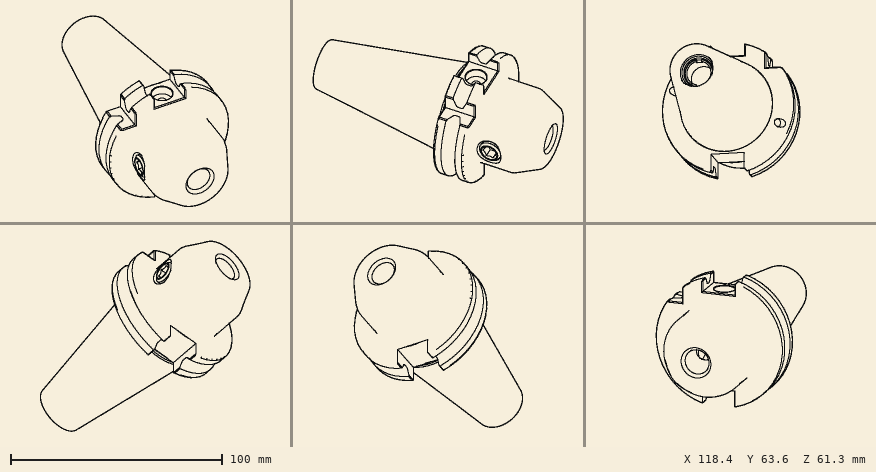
import cadquery as cq
import math

CUT_CLEARANCE = 1.0
MATCH_TOLERANCE = 0.01

GAUGE_R = 44.45 / 2
TAPER_SLOPE = 7 / 48
TAPER_START_X = -68.4
TAPER_END_X = 0.8
TAPER_TIP_FILLET = 1.0
RELIEF_R = 22.0
RELIEF_START_X = 1.6
RELIEF_FILLET = 0.4

FLANGE_R = 63.55 / 2
FLANGE_BACK_X = 3.2
FLANGE_FRONT_X = 19.1
FLANGE_EDGE_FILLET = 1.0
GROOVE_X = 11.1
GROOVE_BOTTOM_R = 56.25 / 2
GROOVE_MOUTH_HALF = 3.6
GROOVE_FLANK_ANGLE = 30
GROOVE_FILLET = 1.2

NOSE_R = 21.0
NOSE_ROOT_FILLET = 2.0
NOSE_CONE_START_X = 37.2
NOSE_FRONT_X = 50.0
NOSE_CONE_ANGLE = 25
NOSE_SHOULDER_FILLET = 2.5
NOSE_TIP_FILLET = 2.0

PILOT_R = 8.5
PILOT_DEPTH = 6.4
PILOT_MOUTH_FILLET = 0.9
THREAD_R = 7.0
THREAD_CHAMFER = 0.7
THREAD_END_X = 3.0
TOOL_BORE_R = 6.0
TOOL_BORE_CHAMFER = 1.5

SLOT_WIDTH = 16.1
TOP_SLOT_FLOOR_Z = 25.0
BOTTOM_SLOT_FLOOR_Z = -22.6
NOTCH_OFFSET = 18.4
RIM_CHAMFER = 0.5

POCKET_R = 5.0
POCKET_DEPTH = 4.6
POCKET_CHAMFER = 0.25
POCKET_TIP_R = 2.0
DRILL_TIP_HALF_ANGLE = 59

COOLANT_R = 2.0
COOLANT_PITCH_R = 27.0
COOLANT_ANGLE = 20
COOLANT_TILT = 45
COOLANT_DEPTH = 3.0

SCREW_X = 27.5
SCREW_R = 5.5
SCREW_TIP_Y = -5.0
SCREW_HEAD_Y = -20.8
SCREW_CHAMFER = 1.0
COUNTERSINK_BOTTOM_Y = -18.6
COUNTERSINK_HALF_X = 6.2
COUNTERSINK_HALF_Z = 8.4
HEX_ACROSS_FLATS = 6.0
HEX_DEPTH = 5.0
HEX_MOUTH_R = 4.0

RING_START_X = -59.9
RING_LENGTH = 10.0
RING_BORE_R = 5.8
RING_CHAMFER = 0.4
RING_SLOT_WIDTH = 2.8
RING_SLOT_DEPTH = 2.0


def taper_radius(x):
    return GAUGE_R + TAPER_SLOPE * x


def revolve_about_x(profile):
    return profile.close().revolve(360, (0, 0, 0), (1, 0, 0))


def fillet_rings(body, rings, radius):
    """Fillet the full circles about the X axis given as (x, radius) pairs."""
    picked = []
    for edge in body.edges("%CIRCLE").vals():
        centre = edge.arcCenter()
        for x, r in rings:
            same_place = abs(centre.x - x) < MATCH_TOLERANCE
            same_size = abs(edge.radius() - r) < MATCH_TOLERANCE
            if same_place and same_size:
                picked.append(edge)
    return body.newObject(picked).fillet(radius)


def make_blank():
    flank_run = (FLANGE_R - GROOVE_BOTTOM_R) * math.tan(math.radians(GROOVE_FLANK_ANGLE))
    groove_floor_half = GROOVE_MOUTH_HALF - flank_run
    cone_drop = (NOSE_FRONT_X - NOSE_CONE_START_X) * math.tan(math.radians(NOSE_CONE_ANGLE))
    tip_r = taper_radius(TAPER_START_X)
    nose_tip_r = NOSE_R - cone_drop
    profile = cq.Workplane("XZ").polyline(
        [
            (TAPER_START_X, 0),
            (TAPER_START_X, tip_r),
            (TAPER_END_X, taper_radius(TAPER_END_X)),
            (RELIEF_START_X, RELIEF_R),
            (FLANGE_BACK_X, RELIEF_R),
            (FLANGE_BACK_X, FLANGE_R),
            (GROOVE_X - GROOVE_MOUTH_HALF, FLANGE_R),
            (GROOVE_X - groove_floor_half, GROOVE_BOTTOM_R),
            (GROOVE_X + groove_floor_half, GROOVE_BOTTOM_R),
            (GROOVE_X + GROOVE_MOUTH_HALF, FLANGE_R),
            (FLANGE_FRONT_X, FLANGE_R),
            (FLANGE_FRONT_X, NOSE_R),
            (NOSE_CONE_START_X, NOSE_R),
            (NOSE_FRONT_X, nose_tip_r),
            (NOSE_FRONT_X, 0),
        ]
    )
    blank = revolve_about_x(profile)
    blank = fillet_rings(blank, [(TAPER_START_X, tip_r)], TAPER_TIP_FILLET)
    blank = fillet_rings(blank, [(FLANGE_BACK_X, RELIEF_R)], RELIEF_FILLET)
    flange_edges = [(FLANGE_BACK_X, FLANGE_R), (FLANGE_FRONT_X, FLANGE_R)]
    blank = fillet_rings(blank, flange_edges, FLANGE_EDGE_FILLET)
    groove_corners = [(GROOVE_X + side * groove_floor_half, GROOVE_BOTTOM_R) for side in (-1, 1)]
    blank = fillet_rings(blank, groove_corners, GROOVE_FILLET)
    blank = fillet_rings(blank, [(FLANGE_FRONT_X, NOSE_R)], NOSE_ROOT_FILLET)
    blank = fillet_rings(blank, [(NOSE_CONE_START_X, NOSE_R)], NOSE_SHOULDER_FILLET)
    return fillet_rings(blank, [(NOSE_FRONT_X, nose_tip_r)], NOSE_TIP_FILLET)


def central_bore():
    pilot_end_x = TAPER_START_X + PILOT_DEPTH
    profile = cq.Workplane("XZ").polyline(
        [
            (TAPER_START_X, 0),
            (TAPER_START_X, PILOT_R),
            (pilot_end_x, PILOT_R),
            (pilot_end_x, THREAD_R + THREAD_CHAMFER),
            (pilot_end_x + THREAD_CHAMFER, THREAD_R),
            (THREAD_END_X, THREAD_R),
            (THREAD_END_X, TOOL_BORE_R),
            (NOSE_FRONT_X - TOOL_BORE_CHAMFER, TOOL_BORE_R),
            (NOSE_FRONT_X, TOOL_BORE_R + TOOL_BORE_CHAMFER),
            (NOSE_FRONT_X, 0),
        ]
    )
    return revolve_about_x(profile)


def round_pilot_mouth(body):
    return fillet_rings(body, [(TAPER_START_X, PILOT_R)], PILOT_MOUTH_FILLET)


def rim_cutter(y_min, y_max, z_min, z_max, chamfer):
    """Box across the flange width, widened by equal chamfers at both flange faces."""
    width = FLANGE_FRONT_X - FLANGE_BACK_X
    size_y = y_max - y_min
    size_z = z_max - z_min
    centre = ((y_min + y_max) / 2, (z_min + z_max) / 2)
    back = cq.Workplane("YZ", origin=(FLANGE_BACK_X, 0, 0)).center(*centre)
    cutter = back.rect(size_y, size_z).extrude(width)
    if chamfer == 0:
        return cutter
    wide_y = size_y + 2 * chamfer
    wide_z = size_z + 2 * chamfer
    for face_x, inward in ((FLANGE_BACK_X, 1), (FLANGE_FRONT_X, -1)):
        face = cq.Workplane("YZ", origin=(face_x, 0, 0)).center(*centre)
        cutter = cutter.union(face.rect(wide_y, wide_z).extrude(inward * chamfer, taper=45))
    return cutter


def cut_rim(body):
    half = SLOT_WIDTH / 2
    reach = FLANGE_R + CUT_CLEARANCE
    body = body.cut(rim_cutter(-half, half, TOP_SLOT_FLOOR_Z, reach, RIM_CHAMFER))
    body = body.cut(rim_cutter(-half, half, -reach, BOTTOM_SLOT_FLOOR_Z, 0))
    body = body.cut(rim_cutter(-reach, -NOTCH_OFFSET, NOTCH_OFFSET, reach, RIM_CHAMFER))
    slot_rim_z = math.sqrt(FLANGE_R**2 - half**2)
    notch_rim = math.sqrt(FLANGE_R**2 - NOTCH_OFFSET**2)
    corners = [(side * half, end * slot_rim_z) for side in (-1, 1) for end in (-1, 1)]
    corners += [(-NOTCH_OFFSET, notch_rim), (-notch_rim, NOTCH_OFFSET)]
    bars = (
        cq.Workplane("YZ", origin=(FLANGE_BACK_X, 0, 0))
        .pushPoints(corners)
        .polygon(4, 2 * RIM_CHAMFER)
        .extrude(FLANGE_FRONT_X - FLANGE_BACK_X)
    )
    return body.cut(bars)


def chip_pocket():
    floor = -POCKET_DEPTH
    tip = floor - POCKET_TIP_R / math.tan(math.radians(DRILL_TIP_HALF_ANGLE))
    return (
        cq.Workplane("XZ", origin=(GROOVE_X, 0, TOP_SLOT_FLOOR_Z))
        .polyline(
            [
                (0, 0),
                (POCKET_R + POCKET_CHAMFER, 0),
                (POCKET_R, -POCKET_CHAMFER),
                (POCKET_R, floor),
                (POCKET_TIP_R, floor),
                (0, tip),
            ]
        )
        .close()
        .revolve(360, (0, 0, 0), (0, 1, 0))
    )


def coolant_holes():
    """Two opposite holes that lean toward the axis as they go into the flange."""
    tilt = math.radians(COOLANT_TILT)
    direction = cq.Vector(math.cos(tilt), -math.sin(tilt), 0)
    start = cq.Vector(FLANGE_BACK_X, COOLANT_PITCH_R, 0) - direction * COOLANT_DEPTH
    hole = cq.Solid.makeCylinder(COOLANT_R, 2 * COOLANT_DEPTH, start, direction)
    holes = []
    for angle in (COOLANT_ANGLE, COOLANT_ANGLE + 180):
        holes.append(hole.rotate(cq.Vector(0, 0, 0), cq.Vector(1, 0, 0), angle))
    return holes


def screw_hole():
    """Round hole from the bore to -Y with a countersink that opens wider along Z."""
    hole = cq.Workplane("XZ", origin=(SCREW_X, 0, 0)).circle(SCREW_R).extrude(NOSE_R + CUT_CLEARANCE)
    countersink = (
        cq.Workplane("XZ", origin=(SCREW_X, COUNTERSINK_BOTTOM_Y, 0))
        .circle(SCREW_R)
        .workplane(offset=COUNTERSINK_BOTTOM_Y + NOSE_R)
        .ellipse(COUNTERSINK_HALF_X, COUNTERSINK_HALF_Z)
        .loft()
    )
    return hole.union(countersink)


def make_holder():
    body = cut_rim(make_blank())
    body = body.cut(chip_pocket())
    for hole in coolant_holes():
        body = body.cut(cq.Workplane(hole))
    body = body.cut(screw_hole())
    return round_pilot_mouth(body.cut(central_bore()))


def make_clamping_screw():
    length = SCREW_TIP_Y - SCREW_HEAD_Y
    head = cq.Workplane("XZ", origin=(SCREW_X, SCREW_HEAD_Y, 0))
    screw = head.circle(SCREW_R).extrude(-length).faces("<Y").chamfer(SCREW_CHAMFER)
    hex_circle = HEX_ACROSS_FLATS / math.cos(math.pi / 6)
    screw = screw.cut(head.polygon(6, hex_circle).extrude(-HEX_DEPTH))
    mouth_depth = HEX_MOUTH_R - HEX_ACROSS_FLATS / 2
    return screw.cut(head.circle(HEX_MOUTH_R).extrude(-mouth_depth, taper=45))


def make_stop_ring():
    back = cq.Workplane("YZ", origin=(RING_START_X, 0, 0))
    ring = back.circle(THREAD_R).extrude(RING_LENGTH).faces("<X").chamfer(RING_CHAMFER)
    ring = ring.cut(back.circle(RING_BORE_R).extrude(RING_LENGTH))
    return ring.cut(back.rect(RING_SLOT_WIDTH, 2 * THREAD_R).extrude(RING_SLOT_DEPTH))


holder = make_holder()
clamping_screw = make_clamping_screw()
stop_ring = make_stop_ring()

result = cq.Compound.makeCompound([holder.val(), clamping_screw.val(), stop_ring.val()])